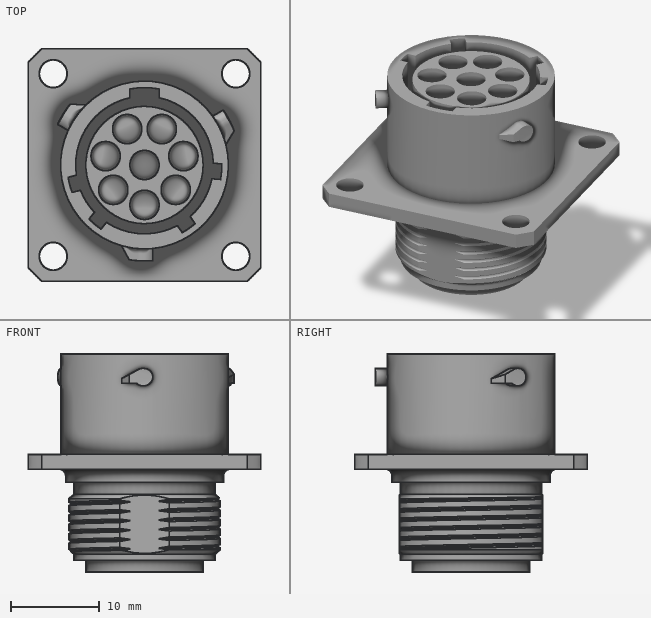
import cadquery as cq
import math

TOTAL_HEIGHT = 24.56
STUB_HEIGHT = 1.32
THREAD_BOTTOM = 2.03
THREAD_TOP = 8.75
NECK_TOP = 10.11
FLANGE_BOTTOM = 11.55
FLANGE_TOP = 13.25

FLANGE_SIZE = 26.18
FLANGE_CHAMFER = 1.52
MOUNT_HOLE_DIAMETER = 3.1
MOUNT_HOLE_SPACING = 20.55

BARREL_RADIUS = 9.44
BORE_RADIUS = 7.75
INSERT_RADIUS = 6.6
INSERT_RECESS = 0.5
NECK_RADIUS = 7.96
COLLAR_RADIUS = 8.9
COLLAR_FLARE_HEIGHT = 0.7

THREAD_RADIUS = 8.52
THREAD_CHAMFER_HEIGHT = 0.5
THREAD_PITCH = 25.4 / 24
THREAD_DEPTH = 0.3
GROOVE_WIDTH = 0.4
GROOVE_HALF_ANGLE = 30.0
GROOVE_FRONT_HEIGHT = 2.65
THREAD_LEAD_IN_TURNS = 0.6
THREAD_TURNS = 6.2
FLAT_HALF_WIDTH = 8.05

CAVITY_DIAMETER = 3.3
CAVITY_DEPTH = 2.13
CAVITY_RING_RADIUS = 4.49
CAVITY_RING_COUNT = 7
CAVITY_RING_START = -90.0

KEYWAY_RADIUS = 8.71
MAIN_KEY_ANGLE = 90.0
MAIN_KEY_WIDTH = 3.3
MINOR_KEY_WIDTH = 1.76
MINOR_KEY_OFFSETS = (105.0, 140.0, 215.0, 265.0)

PIN_ANGLES = (0.0, 120.0, 240.0)
PIN_HEIGHT = 21.95
PIN_RADIUS = 0.97
PIN_CENTRE_SPACING = 0.2
PIN_NEAR_CENTRE = -0.04
PIN_REACH = 10.8
PIN_ROOT = 9.0
TAIL_LENGTH = 2.63
TAIL_TIP_LENGTH = 1.73
TAIL_BOTTOM = -0.68
TAIL_END_TOP = -0.2

OVERSHOOT = 1.0


def cylinder(radius, bottom, top):
    return cq.Workplane("XY").workplane(offset=bottom).circle(radius).extrude(top - bottom)


def make_flange():
    return (
        cq.Workplane("XY").workplane(offset=FLANGE_BOTTOM)
        .rect(FLANGE_SIZE, FLANGE_SIZE).extrude(FLANGE_TOP - FLANGE_BOTTOM)
        .edges("|Z").chamfer(FLANGE_CHAMFER)
        .faces(">Z").workplane()
        .rect(MOUNT_HOLE_SPACING, MOUNT_HOLE_SPACING, forConstruction=True)
        .vertices().hole(MOUNT_HOLE_DIAMETER)
    )


def make_rear_body():
    """Turned body below the flange: stub, threaded length, neck and flared collar."""
    return (
        cq.Workplane("XZ")
        .moveTo(0, 0)
        .lineTo(INSERT_RADIUS, 0)
        .lineTo(INSERT_RADIUS, STUB_HEIGHT)
        .lineTo(NECK_RADIUS, STUB_HEIGHT)
        .lineTo(NECK_RADIUS, THREAD_BOTTOM)
        .lineTo(THREAD_RADIUS, THREAD_BOTTOM + THREAD_CHAMFER_HEIGHT)
        .lineTo(THREAD_RADIUS, THREAD_TOP - THREAD_CHAMFER_HEIGHT)
        .lineTo(NECK_RADIUS, THREAD_TOP)
        .lineTo(NECK_RADIUS, NECK_TOP)
        .lineTo(COLLAR_RADIUS, NECK_TOP)
        .lineTo(COLLAR_RADIUS, FLANGE_BOTTOM - COLLAR_FLARE_HEIGHT)
        .tangentArcPoint((BARREL_RADIUS, FLANGE_BOTTOM), relative=False)
        .lineTo(0, FLANGE_BOTTOM)
        .close()
        .revolve(360, (0, 0, 0), (0, 1, 0))
    )


def make_thread_groove():
    """Right-hand helical groove that ends in the chamfer at each end of the thread."""
    start_height = GROOVE_FRONT_HEIGHT - THREAD_LEAD_IN_TURNS * THREAD_PITCH
    root_radius = THREAD_RADIUS - THREAD_DEPTH
    outer_radius = THREAD_RADIUS + THREAD_DEPTH
    flank_run = THREAD_DEPTH * math.tan(math.radians(GROOVE_HALF_ANGLE))
    root_half = GROOVE_WIDTH / 2 - flank_run
    outer_half = GROOVE_WIDTH / 2 + flank_run
    helix = cq.Wire.makeHelix(THREAD_PITCH, THREAD_TURNS * THREAD_PITCH, root_radius)
    groove = (
        cq.Workplane("XZ")
        .moveTo(root_radius, -root_half)
        .lineTo(outer_radius, -outer_half)
        .lineTo(outer_radius, outer_half)
        .lineTo(root_radius, root_half)
        .close()
        .sweep(cq.Workplane(obj=helix), isFrenet=True)
    )
    start_angle = -90 - 360 * THREAD_LEAD_IN_TURNS
    return groove.rotate((0, 0, 0), (0, 0, 1), start_angle).translate((0, 0, start_height))


def make_flat_cutter():
    """Two slabs that trim the thread to its flats."""
    thread_height = THREAD_TOP - THREAD_BOTTOM
    slab_depth = THREAD_RADIUS - FLAT_HALF_WIDTH + OVERSHOOT
    slab = (
        cq.Workplane("XY").workplane(offset=THREAD_BOTTOM)
        .center(0, FLAT_HALF_WIDTH + slab_depth / 2)
        .rect(2 * THREAD_RADIUS, slab_depth).extrude(thread_height)
    )
    return slab.union(slab.mirror("XZ"))


def make_keyway(angle, width):
    length = KEYWAY_RADIUS + OVERSHOOT
    slot = (
        cq.Workplane("XY").workplane(offset=FLANGE_TOP)
        .center(length / 2, 0).rect(length, width).extrude(TOTAL_HEIGHT - FLANGE_TOP)
        .intersect(cylinder(KEYWAY_RADIUS, FLANGE_TOP, TOTAL_HEIGHT))
    )
    return slot.rotate((0, 0, 0), (0, 0, 1), angle)


def make_bore():
    """Open space of the barrel around the insert, with its keyways."""
    bore = cylinder(BORE_RADIUS, FLANGE_TOP, TOTAL_HEIGHT)
    bore = bore.union(make_keyway(MAIN_KEY_ANGLE, MAIN_KEY_WIDTH))
    for offset in MINOR_KEY_OFFSETS:
        bore = bore.union(make_keyway(MAIN_KEY_ANGLE + offset, MINOR_KEY_WIDTH))
    return bore.cut(cylinder(INSERT_RADIUS, FLANGE_TOP, TOTAL_HEIGHT - INSERT_RECESS))


def make_cavities():
    return (
        cq.Workplane("XY").workplane(offset=TOTAL_HEIGHT - INSERT_RECESS)
        .polarArray(CAVITY_RING_RADIUS, CAVITY_RING_START, 360, CAVITY_RING_COUNT)
        .circle(CAVITY_DIAMETER / 2).extrude(-CAVITY_DEPTH)
        .union(
            cylinder(
                CAVITY_DIAMETER / 2,
                TOTAL_HEIGHT - INSERT_RECESS - CAVITY_DEPTH,
                TOTAL_HEIGHT - INSERT_RECESS,
            )
        )
    )


def make_pin():
    """Bayonet pin on the -Y side; its tail points to -X and slopes down to a low end."""
    far_centre = PIN_NEAR_CENTRE - PIN_CENTRE_SPACING
    tail_run = TAIL_LENGTH + far_centre
    tail_reach = math.hypot(tail_run, TAIL_END_TOP)
    tail_direction = math.atan2(TAIL_END_TOP, -tail_run) % (2 * math.pi)
    tangent_angle = tail_direction - math.acos(PIN_RADIUS / tail_reach)
    tangent_point = (
        far_centre + PIN_RADIUS * math.cos(tangent_angle),
        PIN_RADIUS * math.sin(tangent_angle),
    )
    outer = PIN_REACH + OVERSHOOT
    oblong_part = (
        cq.Workplane("XZ")
        .center(PIN_NEAR_CENTRE - PIN_CENTRE_SPACING / 2, 0)
        .slot2D(PIN_CENTRE_SPACING + 2 * PIN_RADIUS, 2 * PIN_RADIUS).extrude(outer)
    )
    tail = (
        cq.Workplane("XZ")
        .moveTo(far_centre, TAIL_BOTTOM)
        .lineTo(-TAIL_LENGTH, TAIL_BOTTOM)
        .lineTo(-TAIL_LENGTH, TAIL_END_TOP)
        .lineTo(*tangent_point)
        .lineTo(far_centre, 0)
        .close().extrude(outer)
    )
    tip_reach = math.sqrt(PIN_REACH**2 - TAIL_TIP_LENGTH**2)
    plan = (
        cq.Workplane("XY").workplane(offset=-2 * PIN_RADIUS)
        .moveTo(-TAIL_LENGTH, -PIN_ROOT)
        .lineTo(-TAIL_TIP_LENGTH, -tip_reach)
        .threePointArc((0, -PIN_REACH), (TAIL_TIP_LENGTH, -tip_reach))
        .lineTo(TAIL_TIP_LENGTH, -PIN_ROOT)
        .close().extrude(4 * PIN_RADIUS)
    )
    return oblong_part.union(tail).intersect(plan).translate((0, 0, PIN_HEIGHT))


rear_body = make_rear_body().cut(make_thread_groove()).cut(make_flat_cutter())

result = rear_body.union(make_flange())
result = result.union(cylinder(BARREL_RADIUS, FLANGE_TOP, TOTAL_HEIGHT))
result = result.cut(make_bore()).cut(make_cavities())

pin = make_pin()
for pin_angle in PIN_ANGLES:
    result = result.union(pin.rotate((0, 0, 0), (0, 0, 1), pin_angle))